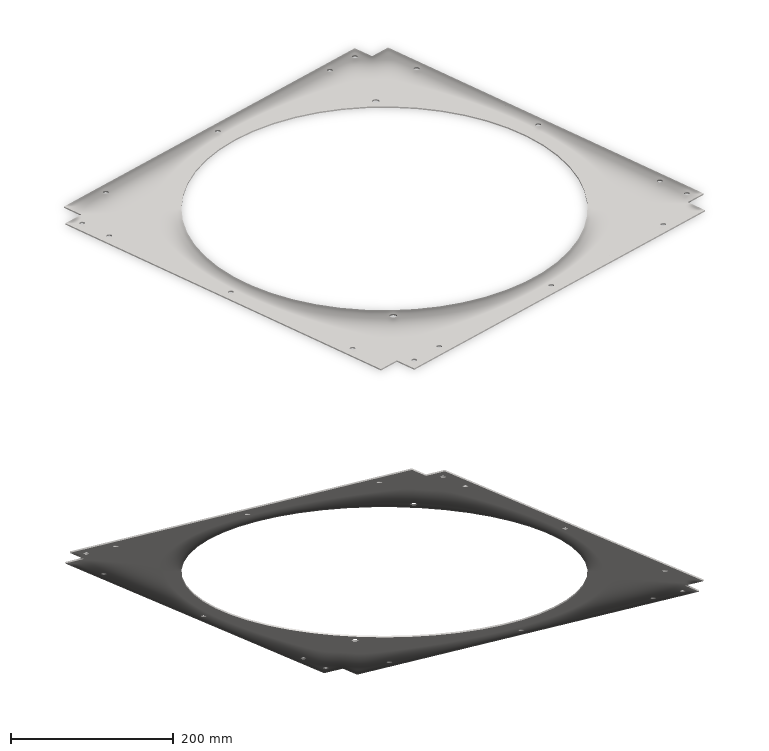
import cadquery as cq
import math

plate_size = 586.0
plate_thickness = 2.0
corner_notch = 29.0
opening_diameter = 500.0

edge_hole_diameter = 7.0
edge_hole_inset = 14.0
edge_hole_spacing = 203.5
extra_hole_margin = 15.0

diagonal_hole_diameter = 9.0
diagonal_hole_radius = 263.5
diagonal_hole_angles = (135.0, 315.0)

half_size = plate_size / 2
edge_hole_line = half_size - edge_hole_inset
extra_hole_offset = half_size - corner_notch - extra_hole_margin


def notched_plate():
    """Square plate with a square notch cut from each corner."""
    inner_size = plate_size - 2 * corner_notch
    wide = cq.Workplane("XY").box(plate_size, inner_size, plate_thickness)
    tall = cq.Workplane("XY").box(inner_size, plate_size, plate_thickness)
    return wide.union(tall).clean()


def edge_hole_points():
    """Three evenly spaced holes on each side, plus one extra near a corner."""
    points = []
    for offset in (-edge_hole_spacing, 0.0, edge_hole_spacing):
        for line in (-edge_hole_line, edge_hole_line):
            points.append((offset, line))
            points.append((line, offset))
    for sign in (-1, 1):
        points.append((sign * extra_hole_offset, sign * edge_hole_line))
        points.append((sign * edge_hole_line, -sign * extra_hole_offset))
    return points


def diagonal_hole_points():
    """Opposite points on the diagonal through the upper-left corner."""
    points = []
    for angle in diagonal_hole_angles:
        x = diagonal_hole_radius * math.cos(math.radians(angle))
        y = diagonal_hole_radius * math.sin(math.radians(angle))
        points.append((x, y))
    return points


def drill(plate, points, diameter):
    """Through holes of one diameter at the given points."""
    return plate.faces(">Z").workplane(origin=(0, 0, 0)).pushPoints(points).hole(diameter)


result = notched_plate()
result = drill(result, [(0.0, 0.0)], opening_diameter)
result = drill(result, edge_hole_points(), edge_hole_diameter)
result = drill(result, diagonal_hole_points(), diagonal_hole_diameter)